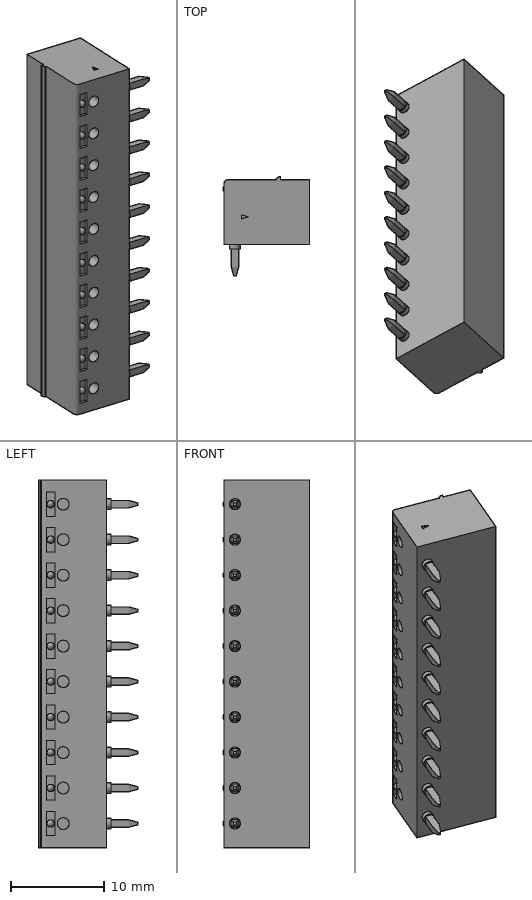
import cadquery as cq

HEIGHT = 39.5
WIDTH = 9.2
DEPTH = 7.0
CORNER_RADIUS = 0.45

CONTACTS = 10
END_MARGIN = 2.6
PITCH = (HEIGHT - 2 * END_MARGIN) / (CONTACTS - 1)

RIB_START_X = 5.6
RIB_END_X = 6.1
RIB_TOP_WIDTH = 0.2
RIB_HEIGHT = 0.3
RIB_FOOT_HEIGHT = 0.1

PIN_X = 1.2
PIN_LENGTH = 3.35
PIN_SIDE = 0.83
TIP_SIDE = 0.28
TIP_LENGTH = 1.0
COLLAR_DIAMETER = 1.2
COLLAR_LENGTH = 0.47

HOLE_Y = 4.65
HOLE_DIAMETER = 1.25
HOLE_DEPTH = 1.58
WINDOW_Y = 6.0
WINDOW_WIDTH = 0.85
WINDOW_HEIGHT = 2.6
WINDOW_DEPTH = 0.35
BALL_RADIUS = 0.4
BALL_PROTRUSION = 0.1

ARROW_X = 1.9
ARROW_Y = 3.0
ARROW_LENGTH = 0.7
ARROW_WIDTH = 0.45
ARROW_DEPTH = 0.1


def make_housing():
    block = cq.Workplane("XY").box(WIDTH, DEPTH, HEIGHT, centered=False)
    return block.edges("|Z and <X and >Y").fillet(CORNER_RADIUS)


def make_rib():
    crest_y = DEPTH + RIB_HEIGHT
    profile = [
        (RIB_START_X, DEPTH),
        (RIB_END_X, DEPTH),
        (RIB_END_X, crest_y),
        (RIB_END_X - RIB_TOP_WIDTH, crest_y),
        (RIB_START_X, DEPTH + RIB_FOOT_HEIGHT),
    ]
    return cq.Workplane("XY").polyline(profile).close().extrude(HEIGHT)


def make_pin(z):
    """Round collar, square shank and tapered square tip, pointing to -Y."""
    shank_length = PIN_LENGTH - TIP_LENGTH
    face = cq.Workplane("XZ", origin=(PIN_X, 0, z))
    collar = face.circle(COLLAR_DIAMETER / 2).extrude(COLLAR_LENGTH)
    shank = face.rect(PIN_SIDE, PIN_SIDE).extrude(shank_length)
    tip = (
        face.workplane(offset=shank_length)
        .rect(PIN_SIDE, PIN_SIDE)
        .workplane(offset=TIP_LENGTH)
        .rect(TIP_SIDE, TIP_SIDE)
        .loft()
    )
    return collar.union(shank).union(tip)


def make_hole(z):
    return cq.Workplane("YZ", origin=(0, HOLE_Y, z)).circle(HOLE_DIAMETER / 2).extrude(HOLE_DEPTH)


def make_window(z):
    face = cq.Workplane("YZ", origin=(0, WINDOW_Y, z))
    return face.rect(WINDOW_WIDTH, WINDOW_HEIGHT).extrude(WINDOW_DEPTH)


def make_ball(z):
    ball_x = BALL_RADIUS - BALL_PROTRUSION
    return cq.Workplane("XY").sphere(BALL_RADIUS).translate((ball_x, WINDOW_Y, z))


def make_arrow():
    outline = [
        (ARROW_X, ARROW_Y - ARROW_WIDTH / 2),
        (ARROW_X + ARROW_LENGTH, ARROW_Y),
        (ARROW_X, ARROW_Y + ARROW_WIDTH / 2),
    ]
    return cq.Workplane("XY", origin=(0, 0, HEIGHT)).polyline(outline).close().extrude(-ARROW_DEPTH)


result = make_housing().union(make_rib()).cut(make_arrow())
for index in range(CONTACTS):
    contact_z = END_MARGIN + index * PITCH
    result = result.cut(make_hole(contact_z)).cut(make_window(contact_z))
    result = result.union(make_ball(contact_z)).union(make_pin(contact_z))